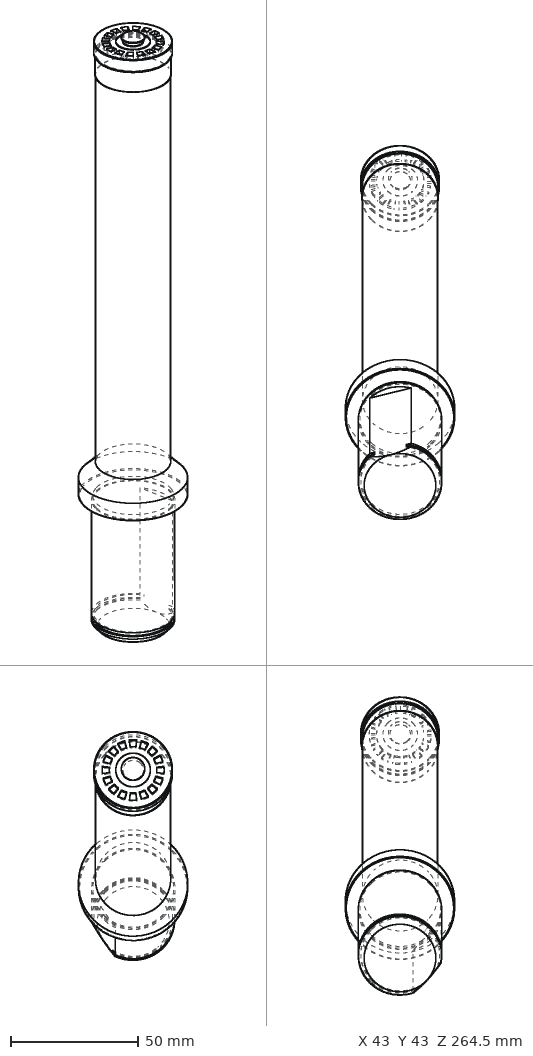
import cadquery as cq
import math

total_height = 264.55

pipe_radius = 16.4
pipe_neck_radius = 15.9
pipe_neck_bottom = 56.0
groove_radius = 15.5
groove_top = 5.4
groove_bottom = 3.7
end_land_bottom = 2.6
end_face_radius = 14.1

flat_offset = 14.1
flat_top = 52.7

collar_radius = 21.5
collar_bottom = 58.0
collar_chamfer = 0.4
collar_cone_bottom = 66.0
collar_cone_top = 73.0

tube_radius = 14.8
tube_top = 246.0
sleeve_radius = 15.0
sleeve_top = 254.8
head_neck_radius = 14.8
head_radius = 15.5
head_bottom = 255.5
head_top = 260.7
head_chamfer = 0.3

slot_count = 16
slot_inner_radius = 9.3
slot_outer_radius = 12.2
slot_angle = 13.5
slot_depth = 1.5
recess_radius = 6.8
recess_depth = 0.3

button_stem_radius = 4.0
button_radius = 4.6
button_rim_height = 1.9
button_rim_thickness = 0.4


def make_shaft():
    """Revolve everything from the pipe end face up to the head's top face."""
    profile = [
        (0, 0),
        (end_face_radius, 0),
        (pipe_radius, end_land_bottom),
        (pipe_radius, groove_bottom),
        (groove_radius, groove_bottom),
        (groove_radius, groove_top),
        (pipe_radius, groove_top),
        (pipe_radius, pipe_neck_bottom),
        (pipe_neck_radius, pipe_neck_bottom),
        (pipe_neck_radius, collar_bottom),
        (collar_radius - collar_chamfer, collar_bottom),
        (collar_radius, collar_bottom + collar_chamfer),
        (collar_radius, collar_cone_bottom),
        (tube_radius, collar_cone_top),
        (tube_radius, tube_top),
        (sleeve_radius, tube_top),
        (sleeve_radius, sleeve_top),
        (head_neck_radius, sleeve_top),
        (head_neck_radius, head_bottom),
        (head_radius, head_bottom),
        (head_radius, head_top - head_chamfer),
        (head_radius - head_chamfer, head_top),
        (0, head_top),
    ]
    return cq.Workplane("XZ").polyline(profile).close().revolve(360, (0, 0), (0, 1))


def make_button():
    """Revolve the domed button with its narrower stem."""
    rim_z = head_top + button_rim_height
    dome_height = total_height - rim_z
    dome_radius = (button_radius**2 + dome_height**2) / (2 * dome_height)
    half_angle = math.asin(button_radius / dome_radius) / 2
    dome_mid = (
        dome_radius * math.sin(half_angle),
        total_height - dome_radius * (1 - math.cos(half_angle)),
    )
    return (
        cq.Workplane("XZ")
        .moveTo(0, head_top - recess_depth)
        .lineTo(button_stem_radius, head_top - recess_depth)
        .lineTo(button_stem_radius, head_top)
        .lineTo(button_radius, rim_z - button_rim_thickness)
        .lineTo(button_radius, rim_z)
        .threePointArc(dome_mid, (0, total_height))
        .close()
        .revolve(360, (0, 0), (0, 1))
    )


def polar(radius, angle):
    """Point at a radius and an angle in degrees."""
    return (radius * math.cos(math.radians(angle)), radius * math.sin(math.radians(angle)))


def make_slot(angle):
    """Pocket shaped as a ring sector, centred on an angle in degrees."""
    start = angle - slot_angle / 2
    end = angle + slot_angle / 2
    return (
        cq.Workplane("XY", origin=(0, 0, head_top - slot_depth))
        .moveTo(*polar(slot_inner_radius, start))
        .lineTo(*polar(slot_outer_radius, start))
        .threePointArc(polar(slot_outer_radius, angle), polar(slot_outer_radius, end))
        .lineTo(*polar(slot_inner_radius, end))
        .threePointArc(polar(slot_inner_radius, angle), polar(slot_inner_radius, start))
        .close()
        .extrude(slot_depth)
    )


def make_recess():
    """Shallow round recess around the button."""
    return (
        cq.Workplane("XY", origin=(0, 0, head_top - recess_depth))
        .circle(recess_radius)
        .extrude(recess_depth)
    )


def make_flat_cut():
    """Block that removes the +Y side of the pipe end."""
    block = cq.Workplane("XY").box(
        2 * pipe_radius, pipe_radius, flat_top, centered=(True, False, False)
    )
    return block.translate((0, flat_offset, 0))


result = make_shaft().cut(make_flat_cut()).cut(make_recess()).union(make_button())
slot_pitch = 360 / slot_count
for index in range(slot_count):
    result = result.cut(make_slot((index + 0.5) * slot_pitch))